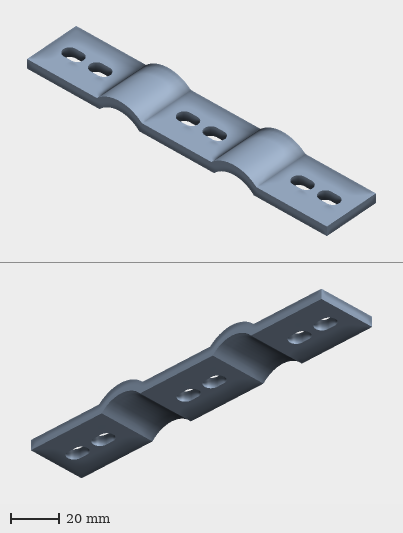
import cadquery as cq

length = 168.5
width = 30.3
thickness = 5.0
height = 10.1

pitch = 64.4

arch_count = 2
first_arch_x = 51.9
outer_half_span = 12.6
inner_half_span = 11.1
inner_rise = 4.9

slot_pair_count = 3
first_slot_x = 12.3
slot_spacing = 15.0
slot_length = 11.3
slot_width = 7.0


def arch_segment(half_span, base_z, crown_z):
    """Circular segment across the full width, centred on X = 0."""
    return (
        cq.Workplane("XZ")
        .moveTo(-half_span, base_z)
        .threePointArc((0, crown_z), (half_span, base_z))
        .close()
        .extrude(width / 2, both=True)
    )


result = cq.Workplane("XY").box(length, width, thickness, centered=(False, True, False))

for index in range(arch_count):
    arch_x = first_arch_x + index * pitch
    cap = arch_segment(outer_half_span, thickness, height).translate((arch_x, 0, 0))
    hollow = arch_segment(inner_half_span, 0, inner_rise).translate((arch_x, 0, 0))
    result = result.union(cap).cut(hollow)

slot_centers = [
    (first_slot_x + pair * pitch + place * slot_spacing, 0)
    for pair in range(slot_pair_count)
    for place in range(2)
]
slots = (
    cq.Workplane("XY")
    .pushPoints(slot_centers)
    .slot2D(slot_length, slot_width)
    .extrude(thickness)
)
result = result.cut(slots)